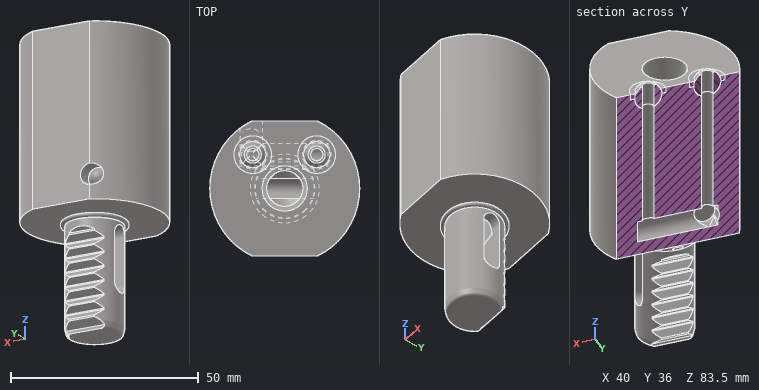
import cadquery as cq
import math

housing_dia = 40.0
housing_height = 50.0
housing_flats = 36.0

shank_dia = 16.0
shank_length = 32.0
lead_in_height = 1.9
lead_in_angle = 14.0
shank_end_fillet = 0.8

bore_top_dia = 12.0
bore_bottom_dia = 9.5
bore_depth = 55.1
drill_tip_angle = 120.0

slot_width = 5.25
slot_top = -2.0
slot_length = 19.0

tooth_pitch = 4.0
gap_count = 6
tooth_tip_y = 7.0
tooth_root_y = 5.3
root_flat = 0.3
first_gap_z = -6.7
rack_land = 0.5
rack_end_y = 5.0

seal_section_dia = 1.3
seal_outer_dia = 18.4

nozzle_x = 8.5
nozzle_y = 9.0
nozzle_ball_radius = 3.8
nozzle_ball_depth = 1.6
nozzle_height = 1.5
nozzle_bore_dia = 3.25
retainer_dia = 10.0

channel_dia = 6.0
channel_z = 7.1
inlet_x = -8.9
plug_y = 12.9

channel_radius = channel_dia / 2
seal_section_radius = seal_section_dia / 2
seal_ring_radius = seal_outer_dia / 2 - seal_section_radius
nozzle_ball_z = housing_height - nozzle_ball_depth
nozzle_tip_z = housing_height + nozzle_height
nozzle_places = [(-nozzle_x, nozzle_y), (nozzle_x, nozzle_y)]


def upright_cylinder(dia, bottom, top, center=(0, 0)):
    """Cylinder along Z between two heights."""
    return cq.Workplane("XY", origin=(*center, bottom)).circle(dia / 2).extrude(top - bottom)


def turned(profile):
    """Solid of revolution about Z from (radius, z) points."""
    return cq.Workplane("XZ").polyline(profile).close().revolve(360, (0, 0), (0, 1))


def ball(radius, center):
    return cq.Workplane("XY").sphere(radius).translate(center)


def make_seal():
    """O-ring around the shank, against the underside of the housing."""
    ring = cq.Solid.makeTorus(seal_ring_radius, seal_section_radius)
    return cq.Workplane("XY").add(ring).translate((0, 0, -seal_section_radius))


def make_nozzle_ball(place):
    return ball(nozzle_ball_radius, (*place, nozzle_ball_z))


def make_retainer(place):
    """Ring flush with the housing top that holds the upper half of a nozzle ball."""
    disc = upright_cylinder(retainer_dia, nozzle_ball_z, housing_height, place)
    return disc.cut(make_nozzle_ball(place))


def make_nozzle(place):
    """Ball with a flat tip and a coolant hole drilled through it."""
    ball_bottom = nozzle_ball_z - nozzle_ball_radius
    below_tip = upright_cylinder(2 * nozzle_ball_radius, ball_bottom, nozzle_tip_z, place)
    hole = upright_cylinder(nozzle_bore_dia, ball_bottom, nozzle_tip_z, place)
    return make_nozzle_ball(place).intersect(below_tip).cut(hole)


def make_plug():
    """Ball that closes the inlet channel."""
    return ball(channel_radius, (inlet_x, plug_y, channel_z))


def make_blank():
    """Cylinder with two flats, and the round shank with its tapered, rounded end."""
    flats = cq.Workplane("XY").rect(housing_dia, housing_flats).extrude(housing_height)
    body = upright_cylinder(housing_dia, 0, housing_height).intersect(flats)
    shank_radius = shank_dia / 2
    end_radius = shank_radius - lead_in_height * math.tan(math.radians(lead_in_angle))
    shank = turned([
        (0, 0),
        (shank_radius, 0),
        (shank_radius, lead_in_height - shank_length),
        (end_radius, -shank_length),
        (0, -shank_length),
    ])
    return body.union(shank.faces("<Z").edges().fillet(shank_end_fillet))


def make_bore():
    """Tapered central bore with a conical drill-tip floor that runs into the slot."""
    bottom_radius = bore_bottom_dia / 2
    floor_z = housing_height - bore_depth
    tip_height = bottom_radius / math.tan(math.radians(drill_tip_angle / 2))
    return turned([
        (0, housing_height),
        (bore_top_dia / 2, housing_height),
        (bottom_radius, floor_z),
        (0, floor_z - tip_height),
    ])


def make_slot():
    """Round-ended slot across the shank along X."""
    slot_center_z = slot_top - slot_length / 2
    slot = cq.Workplane("YZ").center(0, slot_center_z).slot2D(slot_length, slot_width, 90)
    return slot.extrude(shank_dia / 2, both=True)


def make_rack_cut():
    """Material removed from the +Y side of the shank to leave the row of teeth."""
    outer_y = shank_dia / 2
    root_half = root_flat / 2
    tip_half = root_half + tooth_tip_y - tooth_root_y
    last_gap_z = first_gap_z - (gap_count - 1) * tooth_pitch
    rack_top = first_gap_z + tip_half + rack_land
    rack_bottom = last_gap_z - tip_half - rack_land

    outline = [(outer_y, rack_top + outer_y - tooth_tip_y), (tooth_tip_y, rack_top)]
    for i in range(gap_count):
        gap_z = first_gap_z - i * tooth_pitch
        outline += [
            (tooth_tip_y, gap_z + tip_half),
            (tooth_root_y, gap_z + root_half),
            (tooth_root_y, gap_z - root_half),
            (tooth_tip_y, gap_z - tip_half),
        ]
    outline += [
        (tooth_tip_y, rack_bottom),
        (rack_end_y, rack_bottom - tooth_tip_y + rack_end_y),
        (rack_end_y, -shank_length),
        (outer_y, -shank_length),
    ]
    return cq.Workplane("YZ").polyline(outline).close().extrude(shank_dia / 2, both=True)


def make_cross_channel():
    """Channel along X that feeds both nozzles."""
    reach = nozzle_x + channel_radius
    start = cq.Workplane("YZ", origin=(-reach, nozzle_y, channel_z))
    return start.circle(channel_radius).extrude(2 * reach)


def make_inlet_channel():
    """Channel along Y from the +Y flat across the cross channel."""
    end_y = nozzle_y - channel_radius
    start = cq.Workplane("XZ", origin=(inlet_x, end_y, channel_z))
    return start.circle(channel_radius).extrude(end_y - housing_flats / 2)


def make_nozzle_pocket(place):
    """Recess for a retainer and a nozzle ball, with the hole down to the cross channel."""
    recess = upright_cylinder(retainer_dia, nozzle_ball_z, housing_height, place)
    feed = upright_cylinder(nozzle_bore_dia, channel_z, nozzle_ball_z, place)
    return recess.union(make_nozzle_ball(place)).union(feed)


def make_housing():
    housing = make_blank().cut(make_bore()).cut(make_slot()).cut(make_rack_cut())
    housing = housing.cut(make_cross_channel()).cut(make_inlet_channel())
    for place in nozzle_places:
        housing = housing.cut(make_nozzle_pocket(place))
    return housing.cut(make_seal())


housing = make_housing()
seal = make_seal()
plug = make_plug()
retainers = [make_retainer(place) for place in nozzle_places]
nozzles = [make_nozzle(place) for place in nozzle_places]

result = cq.Compound.makeCompound([
    housing.val(),
    seal.val(),
    plug.val(),
    *[retainer.val() for retainer in retainers],
    *[nozzle.val() for nozzle in nozzles],
])